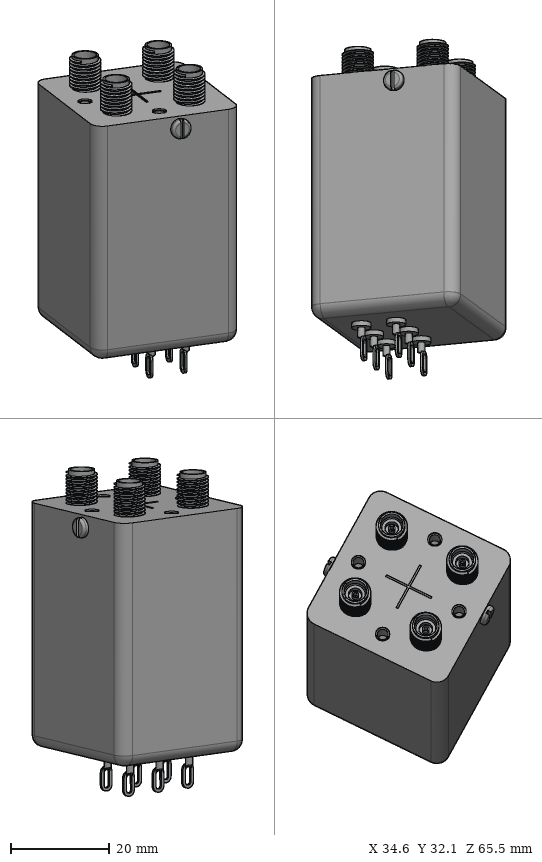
import cadquery as cq
import math

total_height = 65.5
body_width = 32.1
span_over_screws = 34.55

connector_height = 6.95
terminal_height = 7.9
body_height = total_height - connector_height - terminal_height
corner_radius = 2.7
bottom_fillet = 2.5

connector_offset = 8.09
thread_root_radius = 2.7
thread_crest_radius = 3.2
thread_pitch = 0.71
thread_base_width = 0.5
thread_crest_width = 0.1
thread_top_gap = 0.65
thread_embed = 0.1
bore_radius = 2.3
bore_depth = 2.1
bore_floor_chamfer = 0.25
recess_radius = 1.4
recess_depth = 1.3
pin_radius = 0.69
pin_hole_radius = 0.4
pin_hole_depth = 1.65

hole_offset = 11.55
hole_radius = 1.1
hole_depth = 3.9
hole_mouth_radius = 1.45
hole_mouth_depth = 0.3
drill_point_angle = 118.0

cross_length = 10.35
cross_width = 0.4
cross_depth = 0.1

screw_offset = 2.7
screw_drop = 2.6
screw_radius = 2.1
screw_height = (span_over_screws - body_width) / 2
screw_edge_fillet = 0.6
slot_width = 0.7
slot_depth = 0.7

terminal_pitch = 7.55
flange_radius = 1.95
flange_height = 1.0
stem_radius = 0.755
stem_length = 2.95
tab_thickness = 0.49
eye_outer_radius = 1.345
eye_inner_radius = 0.69
eye_length = 5.2


def make_body():
    body = cq.Workplane("XY").box(body_width, body_width, body_height, centered=(True, True, False))
    body = body.translate((0, 0, -body_height))
    return body.edges("|Z").fillet(corner_radius).faces("<Z").edges().fillet(bottom_fillet)


def make_thread():
    """Helical ridge that starts inside the housing and ends below the connector rim."""
    start_z = -thread_pitch
    ridge_height = connector_height - thread_top_gap - start_z
    inner_radius = thread_root_radius - thread_embed
    path = cq.Wire.makeHelix(thread_pitch, ridge_height, inner_radius)
    ridge = (
        cq.Workplane("XZ")
        .polyline([
            (inner_radius, -thread_base_width / 2),
            (thread_crest_radius, -thread_crest_width / 2),
            (thread_crest_radius, thread_crest_width / 2),
            (inner_radius, thread_base_width / 2),
        ])
        .close()
        .sweep(cq.Workplane(path), isFrenet=True)
    )
    return ridge.translate((0, 0, start_z))


def make_connector():
    """Threaded barrel with a stepped socket and a hollow centre pin, standing on Z = 0."""
    barrel = cq.Workplane("XY").circle(thread_root_radius).extrude(connector_height)
    barrel = barrel.union(make_thread())

    floor_z = connector_height - bore_depth
    socket = cq.Workplane("XY").workplane(offset=floor_z).circle(bore_radius).extrude(bore_depth)
    socket = socket.faces("<Z").chamfer(bore_floor_chamfer)
    recess = (
        cq.Workplane("XY")
        .workplane(offset=floor_z - recess_depth)
        .circle(recess_radius)
        .circle(pin_radius)
        .extrude(recess_depth)
    )
    pin_hole = (
        cq.Workplane("XY")
        .workplane(offset=floor_z - pin_hole_depth)
        .circle(pin_hole_radius)
        .extrude(pin_hole_depth)
    )
    return barrel.cut(socket).cut(recess).cut(pin_hole)


def make_drilled_hole():
    """Blind hole cutter with a shallow counterbore and a conical drill point, open at Z = 0."""
    point_depth = hole_radius / math.tan(math.radians(drill_point_angle / 2))
    return (
        cq.Workplane("XZ")
        .polyline([
            (0, 0),
            (hole_mouth_radius, 0),
            (hole_mouth_radius, -hole_mouth_depth),
            (hole_radius, -hole_mouth_depth),
            (hole_radius, -hole_depth),
            (0, -hole_depth - point_depth),
        ])
        .close()
        .revolve(360, (0, 0), (0, 1))
    )


def make_cross():
    bar = cq.Workplane("XY").box(cross_length, cross_width, 2 * cross_depth)
    return bar.union(bar.rotate((0, 0, 0), (0, 0, 1), 90))


def make_screw():
    """Slotted screw head on the +X side, slot running along Z."""
    head = cq.Workplane("YZ").circle(screw_radius).extrude(screw_height)
    head = head.faces(">X").edges().fillet(screw_edge_fillet)
    slot = cq.Workplane("XY").box(2 * slot_depth, slot_width, 3 * screw_radius)
    head = head.cut(slot.translate((screw_height, 0, 0)))
    return head.translate((body_width / 2, screw_offset, -screw_drop))


def make_terminal():
    """Flanged stem that thins through a concave curve into a flat eyelet; hangs from Z = 0."""
    flange = cq.Workplane("XY").circle(flange_radius).extrude(-flange_height)

    tab_face_y = tab_thickness - stem_radius
    blend_radius = stem_radius - tab_face_y
    stem = cq.Workplane("XY").circle(stem_radius).extrude(-stem_length - blend_radius)
    stem_outline = (
        cq.Workplane("YZ")
        .moveTo(-stem_radius, 0)
        .lineTo(stem_radius, 0)
        .lineTo(stem_radius, -stem_length)
        .radiusArc((tab_face_y, -stem_length - blend_radius), -blend_radius)
        .lineTo(-stem_radius, -stem_length - blend_radius)
        .close()
        .extrude(stem_radius, both=True)
    )
    stem = stem.intersect(stem_outline)

    eye_center_z = -terminal_height + eye_length / 2
    wall = eye_outer_radius - eye_inner_radius
    tab = (
        cq.Workplane("XZ", origin=(0, -stem_radius, eye_center_z))
        .slot2D(eye_length, 2 * eye_outer_radius, 90)
        .extrude(-tab_thickness)
    )
    eye = (
        cq.Workplane("XZ", origin=(0, -stem_radius, eye_center_z))
        .slot2D(eye_length - 2 * wall, 2 * eye_inner_radius, 90)
        .extrude(-2 * stem_radius)
    )
    return flange.union(stem).union(tab).cut(eye)


result = make_body().cut(make_cross())

hole = make_drilled_hole()
for x, y in [(hole_offset, 0), (-hole_offset, 0), (0, hole_offset), (0, -hole_offset)]:
    result = result.cut(hole.translate((x, y, 0)))

connector = make_connector()
for x in (-connector_offset, connector_offset):
    for y in (-connector_offset, connector_offset):
        result = result.union(connector.translate((x, y, 0)))

screw = make_screw()
for angle in (0, 180):
    result = result.union(screw.rotate((0, 0, 0), (0, 0, 1), angle))

terminal = make_terminal()
for x in (-terminal_pitch, 0, terminal_pitch):
    for y in (0, terminal_pitch):
        result = result.union(terminal.translate((x, y, -body_height)))